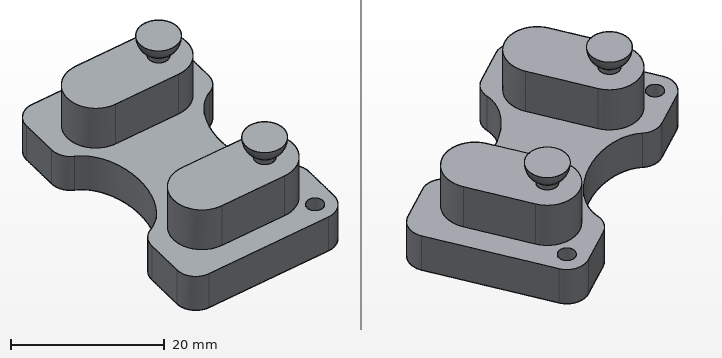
import cadquery as cq
import math

plate_length = 40.0
plate_width = 25.0
plate_height = 6.0
corner_radius = 3.0
hole_diameter = 2.5

waist_depth = 6.0
waist_half_length = 9.0

block_spacing = 24.0
block_width = 9.0
block_length = 19.0
block_height = 7.0

overall_height = 16.5
head_radius = 3.0
stem_diameter = 3.0

block_top = plate_height + block_height
stud_y = (block_length - block_width) / 2


def make_plate():
    """Plate with rounded corners, waist cuts and two corner holes."""
    half_length = plate_length / 2
    half_width = plate_width / 2
    plate = (
        cq.Workplane("XY")
        .moveTo(-half_length, -half_width)
        .lineTo(-waist_half_length, -half_width)
        .ellipseArc(waist_half_length, waist_depth, 0, 180, sense=-1, startAtCurrent=True)
        .lineTo(half_length, -half_width)
        .lineTo(half_length, half_width)
        .lineTo(waist_half_length, half_width)
        .ellipseArc(waist_half_length, waist_depth, 180, 360, sense=-1, startAtCurrent=True)
        .lineTo(-half_length, half_width)
        .close()
        .extrude(plate_height)
    )
    plate = plate.edges("|Z").fillet(corner_radius)

    hole_x = half_length - corner_radius
    hole_y = half_width - corner_radius
    holes = (
        cq.Workplane("XY")
        .pushPoints([(-hole_x, hole_y), (hole_x, hole_y)])
        .circle(hole_diameter / 2)
        .extrude(plate_height)
    )
    return plate.cut(holes)


def make_block(x):
    """Upright block with full-round ends, running along Y."""
    return (
        cq.Workplane("XY", origin=(x, 0, plate_height))
        .slot2D(block_length, block_width, 90)
        .extrude(block_height)
    )


def make_stud(x):
    """Stem with a half-ball head, flat side up."""
    stem = (
        cq.Workplane("XY", origin=(x, stud_y, block_top))
        .circle(stem_diameter / 2)
        .extrude(overall_height - block_top)
    )
    slant = head_radius * math.sqrt(0.5)
    head = (
        cq.Workplane("XZ", origin=(x, stud_y, overall_height))
        .lineTo(head_radius, 0)
        .threePointArc((slant, -slant), (0, -head_radius))
        .close()
        .revolve(360, (0, 0, 0), (0, 1, 0))
    )
    return stem.union(head)


result = make_plate()
for block_x in (-block_spacing / 2, block_spacing / 2):
    result = result.union(make_block(block_x)).union(make_stud(block_x))